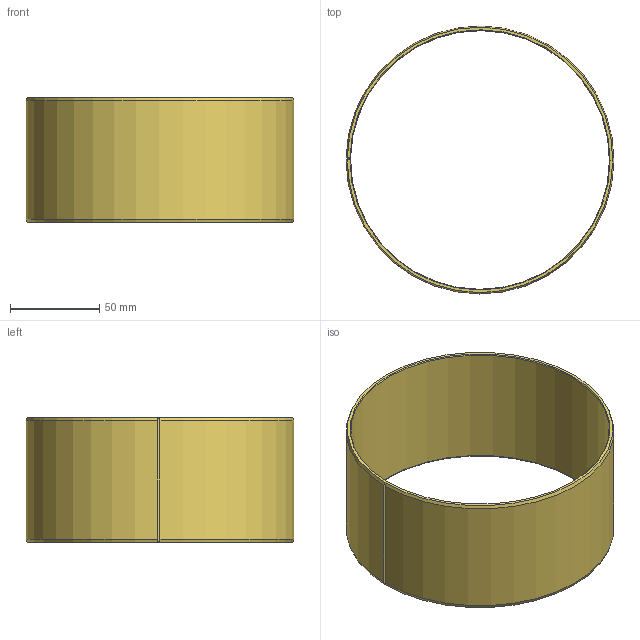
import cadquery as cq
import math

OUTER_DIAMETER = 150.0
WALL = 2.5
LENGTH = 70.0

OUTER_CHAMFER_LENGTH = 1.8
OUTER_CHAMFER_ANGLE = 20.0
INNER_CHAMFER_LENGTH = 0.6
INNER_CHAMFER_ANGLE = 30.0

SPLIT_ANGLE = 0.9


def chamfer_depth(length, angle):
    """Radial depth of a chamfer from its axial length and its angle to the axis."""
    return length * math.tan(math.radians(angle))


outer_radius = OUTER_DIAMETER / 2
inner_radius = outer_radius - WALL
end_outer_radius = outer_radius - chamfer_depth(OUTER_CHAMFER_LENGTH, OUTER_CHAMFER_ANGLE)
end_inner_radius = inner_radius + chamfer_depth(INNER_CHAMFER_LENGTH, INNER_CHAMFER_ANGLE)


def make_wall_section():
    """Wall section at the -X side, with chamfered inner and outer corners."""
    corners = [
        (-end_inner_radius, 0),
        (-end_outer_radius, 0),
        (-outer_radius, OUTER_CHAMFER_LENGTH),
        (-outer_radius, LENGTH - OUTER_CHAMFER_LENGTH),
        (-end_outer_radius, LENGTH),
        (-end_inner_radius, LENGTH),
        (-inner_radius, LENGTH - INNER_CHAMFER_LENGTH),
        (-inner_radius, INNER_CHAMFER_LENGTH),
    ]
    return cq.Workplane("XZ").polyline(corners).close()


def make_split_bushing():
    """Sweep the section counter-clockwise around +Z, stopping short to leave the joint open."""
    return make_wall_section().revolve(360 - SPLIT_ANGLE, (0, 0), (0, 1))


result = make_split_bushing()